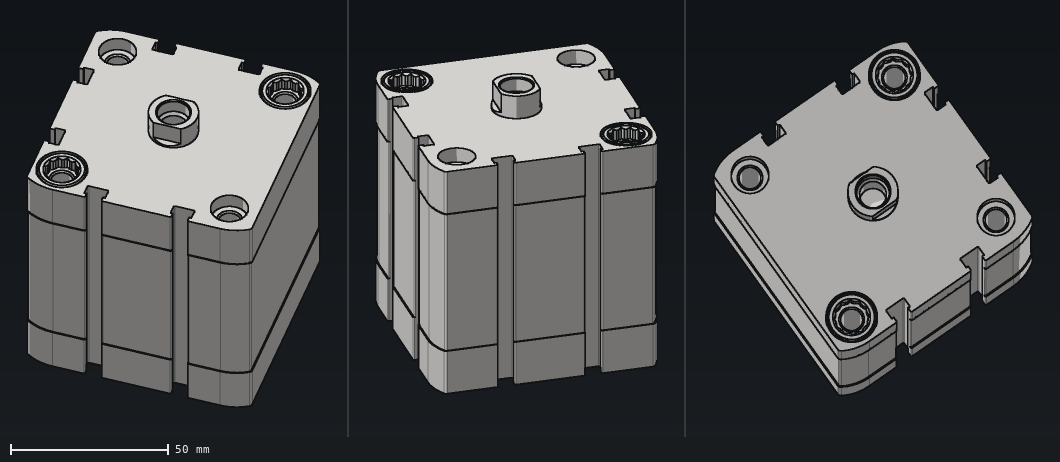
import cadquery as cq
import math

width = 75.5
height = 79.0
cap_height = 15.2
barrel_inset = 0.35
half_width = width / 2

bolt_offset = 28.1
corner_radius = 16.9
corner_blend = 1.3

slot_offset = 14.45
neck_width = 5.5
neck_depth = 1.8
channel_width = 7.0
slot_depth = 5.2
slot_rounding = 0.35

bore_diameter = 7.0
bore_chamfer_diameter = 8.1
seat_depth = 5.0
counterbore_diameter = 12.0

pocket_diameter = 16.4
collar_diameter = 15.5
collar_chamfer = 0.5
socket_rim_diameter = 12.0
hexagon_sides = 6
socket_across_flats = 9.8
socket_ridge_diameter = 10.4
socket_depth = 4.4

rod_diameter = 16.0
rod_top = 87.0
rod_bottom = height - cap_height
flat_width = 13.0
shoulder_height = 1.5
flat_bottom = height + shoulder_height
flat_runout_angle = 30.0
rod_entry_diameter = 10.5
rod_entry_depth = 4.8
rod_entry_chamfer = 0.4
rod_bore_diameter = 8.57
rod_step_height = (rod_entry_diameter - rod_bore_diameter) / 2
rod_bore_depth = 18.0
drill_half_angle = 60.0


def block(inset, bottom, top):
    """A slab of the housing outline, drawn in by the inset on every side."""
    side = half_width - inset
    tangent = bolt_offset
    radius = corner_radius - inset
    arc_centre = side - radius
    run = side - tangent
    end = arc_centre + math.sqrt(radius**2 - run**2)
    half_angle = math.asin(run / radius) / 2
    mid_x = tangent + radius * math.sin(half_angle)
    mid_y = arc_centre + radius * math.cos(half_angle)
    return (
        cq.Workplane("XY")
        .workplane(offset=bottom)
        .moveTo(-tangent, side)
        .lineTo(tangent, side)
        .threePointArc((mid_x, mid_y), (side, end))
        .lineTo(side, -end)
        .threePointArc((mid_x, -mid_y), (tangent, -side))
        .lineTo(-tangent, -side)
        .threePointArc((-mid_x, -mid_y), (-side, -end))
        .lineTo(-side, end)
        .threePointArc((-mid_x, mid_y), (-tangent, side))
        .close()
        .extrude(top - bottom)
        .edges("|Z and (>X or <X)")
        .fillet(corner_blend - inset)
    )


def slot_cutter(side, bottom, top):
    """The space of one slot in the face at Y = side, with rounded channel corners and lips."""
    floor = half_width - slot_depth
    shoulder = half_width - neck_depth
    neck = neck_width / 2
    channel = channel_width / 2
    r = slot_rounding
    return (
        cq.Workplane("XY")
        .workplane(offset=bottom)
        .moveTo(-channel + r, floor)
        .lineTo(channel - r, floor)
        .radiusArc((channel, floor + r), -r)
        .lineTo(channel, shoulder)
        .lineTo(neck, shoulder)
        .lineTo(neck, side - r)
        .radiusArc((neck + r, side), r)
        .lineTo(-neck - r, side)
        .radiusArc((-neck, side - r), r)
        .lineTo(-neck, shoulder)
        .lineTo(-channel, shoulder)
        .lineTo(-channel, floor + r)
        .radiusArc((-channel + r, floor), -r)
        .close()
        .extrude(top - bottom)
    )


def cut_slots(slab, inset, bottom, top):
    """Cut two slots into each of the back, left and front faces."""
    slot = slot_cutter(half_width - inset, bottom, top)
    for angle in (0, 90, 180):
        for x in (-slot_offset, slot_offset):
            slab = slab.cut(slot.translate((x, 0, 0)).rotate((0, 0, 0), (0, 0, 1), angle))
    return slab


def revolved(points):
    """A solid turned about the Z axis from (radius, height) points."""
    return cq.Workplane("XZ").polyline(points).close().revolve(360, (0, 0), (0, 1))


def bolt_bore(seat):
    """Through bore with a chamfered mouth at the seat."""
    chamfer_height = (bore_chamfer_diameter - bore_diameter) / 2
    return revolved([
        (0, 0),
        (bore_diameter / 2, 0),
        (bore_diameter / 2, seat - chamfer_height),
        (bore_chamfer_diameter / 2, seat),
        (0, seat),
    ])


def plain_mouth():
    """Counterbore above the seat."""
    return (
        cq.Workplane("XY")
        .workplane(offset=height - seat_depth)
        .circle(counterbore_diameter / 2)
        .extrude(seat_depth)
    )


def collar_mouth():
    """Space left around and inside a collar screw with a twelve-point socket."""
    seat = height - socket_depth
    collar_top = height
    rim_radius = socket_rim_diameter / 2
    half_step = 180 / hexagon_sides
    corner_diameter = socket_across_flats / math.cos(math.radians(half_step))
    pocket = (
        cq.Workplane("XY").workplane(offset=seat)
        .circle(pocket_diameter / 2).extrude(socket_depth)
    )
    collar = (
        cq.Workplane("XY").workplane(offset=seat)
        .circle(collar_diameter / 2).extrude(collar_top - seat)
        .faces(">Z").edges().chamfer(collar_chamfer)
    )
    hexagon = (
        cq.Workplane("XY").workplane(offset=seat)
        .polygon(hexagon_sides, corner_diameter).extrude(collar_top - seat)
    )
    ridges = (
        cq.Workplane("XY").workplane(offset=seat)
        .circle(socket_ridge_diameter / 2).extrude(collar_top - seat)
    )
    turned_hexagon = hexagon.rotate((0, 0, 0), (0, 0, 1), half_step)
    socket = hexagon.union(turned_hexagon).union(ridges)
    rim = revolved([(0, collar_top - rim_radius), (rim_radius, collar_top), (0, collar_top)])
    return pocket.cut(collar.cut(socket).cut(rim))


def make_housing():
    levels = (0, cap_height, height - cap_height, height)
    insets = (0, barrel_inset, 0)
    body = None
    for inset, bottom, top in zip(insets, levels, levels[1:]):
        slab = cut_slots(block(inset, bottom, top), inset, bottom, top)
        body = slab if body is None else body.union(slab)
    for x in (-bolt_offset, bolt_offset):
        for y in (-bolt_offset, bolt_offset):
            if x * y > 0:
                mouth = collar_mouth()
                bore = bolt_bore(height - socket_depth)
            else:
                mouth = plain_mouth()
                bore = bolt_bore(height - seat_depth)
            body = body.cut(bore.translate((x, y, 0)))
            body = body.cut(mouth.translate((x, y, 0)))
    rod_hole = (
        cq.Workplane("XY").workplane(offset=rod_bottom)
        .circle(rod_diameter / 2).extrude(height - rod_bottom)
    )
    return body.cut(rod_hole)


def make_rod():
    rod = (
        cq.Workplane("XY").workplane(offset=rod_bottom)
        .circle(rod_diameter / 2).extrude(rod_top - rod_bottom)
    )
    flat = flat_width / 2
    radius = rod_diameter / 2
    runout = (radius - flat) * math.tan(math.radians(flat_runout_angle))
    flat_cut = (
        cq.Workplane("YZ")
        .polyline([
            (flat, rod_top),
            (flat, flat_bottom),
            (radius, flat_bottom - runout),
            (radius, rod_top),
        ])
        .close()
        .extrude(radius, both=True)
    )
    rod = rod.cut(flat_cut).cut(flat_cut.mirror("XZ"))
    entry = rod_entry_diameter / 2
    bore = rod_bore_diameter / 2
    slope = math.tan(math.radians(drill_half_angle))
    hole = revolved([
        (0, rod_top),
        (entry + rod_entry_chamfer, rod_top),
        (entry, rod_top - rod_entry_chamfer),
        (entry, rod_top - rod_entry_depth),
        (bore, rod_top - rod_entry_depth - rod_step_height),
        (bore, rod_top - rod_bore_depth),
        (0, rod_top - rod_bore_depth - bore / slope),
    ])
    return rod.cut(hole)


housing = make_housing()
rod = make_rod()
result = cq.Compound.makeCompound([housing.val(), rod.val()])